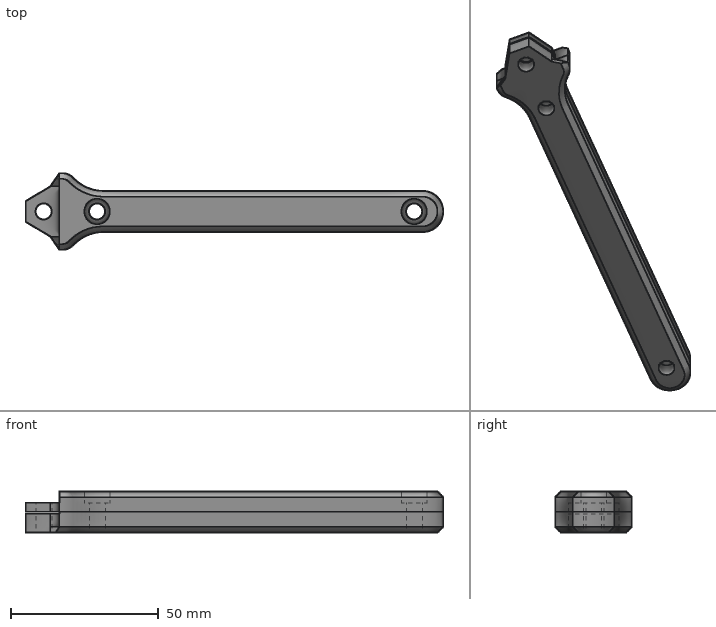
import cadquery as cq
import math

length = 141.5
height = 14.0
split_height = height / 2
edge_chamfer = 2.0

bar_half_width = height / 2
bar_end_centre_x = length - bar_half_width

head_face_x = 11.5
head_half_width = 13.0
shoulder_radius = 5.0
neck_radius = 14.0
flare_angle = math.radians(45)
neck_end_x = 26.3

tongue_tip_half_width = 3.5
tongue_half_width = 8.5
tongue_corner_x = 8.3
tongue_top = 10.2
tongue_gap = 0.5

screw_diameter = 5.4
screw_head_diameter = 8.6
screw_head_depth = 4.0
tongue_hole_x = 6.1
head_hole_x = 24.2
end_hole_x = 131.6
handle_screw_centres = [(head_hole_x, 0), (end_hole_x, 0)]


def handle_outline():
    """Closed plan outline of the flared head and the rounded bar."""
    sin_flare = math.sin(flare_angle)
    cos_flare = math.cos(flare_angle)
    sin_half = math.sin(flare_angle / 2)
    cos_half = math.cos(flare_angle / 2)

    neck_start = (neck_end_x - neck_radius * sin_flare, bar_half_width + neck_radius * (1 - cos_flare))
    neck_middle = (neck_end_x - neck_radius * sin_half, bar_half_width + neck_radius * (1 - cos_half))
    neck_end = (neck_end_x, bar_half_width)

    shoulder_end_y = head_half_width - shoulder_radius * (1 - cos_flare)
    shoulder_end_x = neck_start[0] - (shoulder_end_y - neck_start[1]) / math.tan(flare_angle)
    shoulder_start_x = shoulder_end_x - shoulder_radius * sin_flare
    shoulder_start = (shoulder_start_x, head_half_width)
    shoulder_middle = (
        shoulder_start_x + shoulder_radius * sin_half,
        head_half_width - shoulder_radius * (1 - cos_half),
    )
    shoulder_end = (shoulder_end_x, shoulder_end_y)

    def mirrored(point):
        return (point[0], -point[1])

    return (
        cq.Workplane("XY")
        .moveTo(head_face_x, -head_half_width)
        .lineTo(head_face_x, head_half_width)
        .lineTo(*shoulder_start)
        .threePointArc(shoulder_middle, shoulder_end)
        .lineTo(*neck_start)
        .threePointArc(neck_middle, neck_end)
        .lineTo(bar_end_centre_x, bar_half_width)
        .threePointArc((length, 0), (bar_end_centre_x, -bar_half_width))
        .lineTo(*mirrored(neck_end))
        .threePointArc(mirrored(neck_middle), mirrored(neck_start))
        .lineTo(*mirrored(shoulder_end))
        .threePointArc(mirrored(shoulder_middle), mirrored(shoulder_start))
        .close()
    )


def handle_block():
    """Full-height handle, chamfered top and bottom all round except at the head face."""
    block = handle_outline().extrude(height)
    return block.faces("<Z or >Z").edges("not <X").chamfer(edge_chamfer)


def tongue_leaf(bottom, top):
    """Layer of the tapered tongue between two heights."""
    outline = [
        (0, -tongue_tip_half_width),
        (0, tongue_tip_half_width),
        (tongue_corner_x, tongue_half_width),
        (head_face_x, tongue_half_width),
        (head_face_x, -tongue_half_width),
        (tongue_corner_x, -tongue_half_width),
    ]
    return cq.Workplane("XY").workplane(offset=bottom).polyline(outline).close().extrude(top - bottom)


def corner_webs():
    """Low webs from the tongue corners to the head corners, under the same edge chamfer as the head."""
    plan = [
        (tongue_corner_x, -tongue_half_width),
        (tongue_corner_x, tongue_half_width),
        (head_face_x, head_half_width),
        (head_face_x, -head_half_width),
    ]
    bottom_half_width = head_half_width - edge_chamfer
    chamfered_section = [
        (-bottom_half_width, 0),
        (bottom_half_width, 0),
        (head_half_width, edge_chamfer),
        (-head_half_width, edge_chamfer),
    ]
    webs = cq.Workplane("XY").polyline(plan).close().extrude(edge_chamfer)
    section = cq.Workplane("YZ").polyline(chamfered_section).close().extrude(head_face_x)
    return webs.intersect(section)


def layer(bottom, top):
    """Slab that covers the whole plan between two heights."""
    slab = cq.Workplane("XY").box(length, 2 * head_half_width, top - bottom, centered=(False, True, False))
    return slab.translate((0, 0, bottom))


def screw_holes():
    """Through holes in the tongue, the head and the far end."""
    centres = [(tongue_hole_x, 0), *handle_screw_centres]
    return cq.Workplane("XY").pushPoints(centres).circle(screw_diameter / 2).extrude(height)


def screw_head_recesses():
    """Counterbores sunk into the top face for the two handle screws."""
    return (
        cq.Workplane("XY")
        .workplane(offset=height)
        .pushPoints(handle_screw_centres)
        .circle(screw_head_diameter / 2)
        .extrude(-screw_head_depth)
    )


def lower_half():
    """Bottom half of the handle with the thick tongue leaf and its corner webs."""
    half = handle_block().intersect(layer(0, split_height))
    half = half.union(tongue_leaf(0, split_height - tongue_gap))
    half = half.union(corner_webs())
    return half.cut(screw_holes())


def upper_half():
    """Top half of the handle with the thin tongue leaf and the counterbores."""
    half = handle_block().intersect(layer(split_height, height))
    half = half.union(tongue_leaf(split_height, tongue_top))
    return half.cut(screw_holes()).cut(screw_head_recesses())


lower_handle = lower_half().solids()
upper_handle = upper_half().solids()

result = cq.Compound.makeCompound([lower_handle.val(), upper_handle.val()])